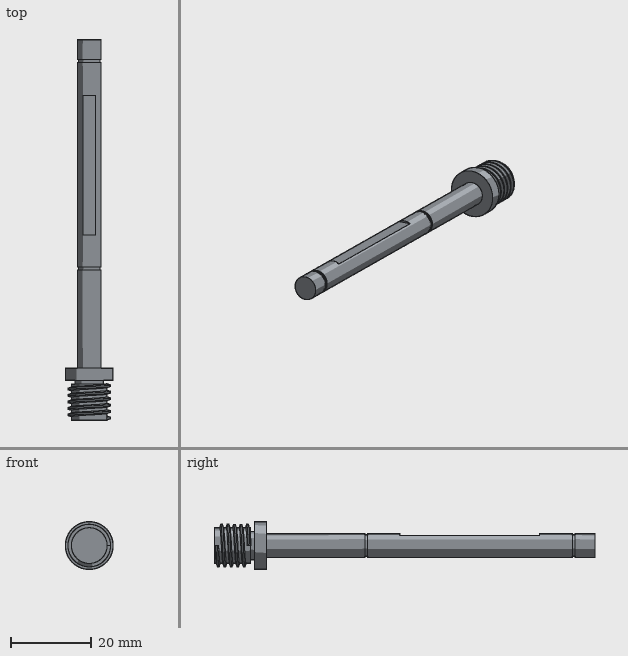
import cadquery as cq

total_length = 95.0
plug_length = 9.0
neck_length = 0.95
collar_length = 3.0

shaft_diameter = 6.0
collar_diameter = 12.0
neck_diameter = 7.1
core_diameter = 8.9
thread_diameter = 10.6

thread_pitch = 1.6
thread_turns = 5
thread_start = 0.6
root_width = 1.0
crest_width = 0.4
root_overlap = 0.2

groove_width = 0.7
groove_depth = 0.3
groove_centers = (37.9, 89.7)

flat_start = 46.3
flat_length = 34.9
flat_depth = 0.5


def cylinder(start, length, diameter):
    """Cylinder on the Y axis, running from start towards +Y."""
    plane = cq.Plane(origin=(0, start, 0), xDir=(0, 0, 1), normal=(0, 1, 0))
    return cq.Workplane(plane).circle(diameter / 2).extrude(length)


def thread_ridge():
    """Helical trapezoid ridge whose foot is sunk slightly into the core."""
    core_radius = core_diameter / 2
    crest_radius = thread_diameter / 2
    foot_radius = core_radius - root_overlap
    helix = cq.Wire.makeHelix(thread_pitch, thread_pitch * thread_turns, core_radius)
    profile = cq.Workplane("XZ").polyline([
        (foot_radius, -root_width / 2),
        (crest_radius, -crest_width / 2),
        (crest_radius, crest_width / 2),
        (foot_radius, root_width / 2),
    ]).close()
    ridge = profile.sweep(cq.Workplane(helix), isFrenet=True)
    return ridge.rotate((0, 0, 0), (1, 0, 0), -90).translate((0, thread_start, 0))


def ring_groove(center):
    """Ring of material to remove around the shaft."""
    start = center - groove_width / 2
    outer = cylinder(start, groove_width, collar_diameter)
    return outer.cut(cylinder(start, groove_width, shaft_diameter - 2 * groove_depth))


collar_start = plug_length + neck_length
shaft_start = collar_start + collar_length
body = cylinder(0, plug_length, core_diameter)
body = body.union(cylinder(plug_length, neck_length, neck_diameter))
body = body.union(cylinder(collar_start, collar_length, collar_diameter))
body = body.union(cylinder(shaft_start, total_length - shaft_start, shaft_diameter))

for groove_center in groove_centers:
    body = body.cut(ring_groove(groove_center))

flat_height = shaft_diameter / 2 - flat_depth
flat_cutter = cq.Workplane("XY").box(
    shaft_diameter, flat_length, shaft_diameter, centered=(True, False, False)
)
body = body.cut(flat_cutter.translate((0, flat_start, flat_height)))

result = body.union(thread_ridge())